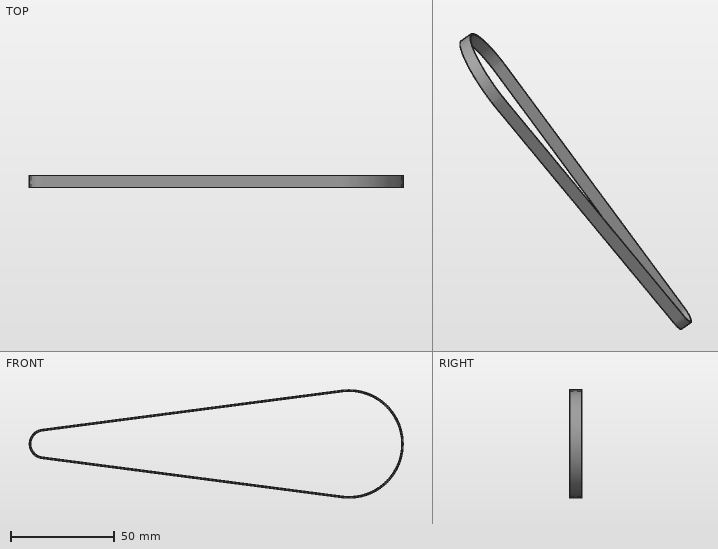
import cadquery as cq
import math

length = 181.42
width = 6.0
belt_thickness = 0.8
large_radius = 26.3
small_radius = 7.15

center_distance = length - large_radius - small_radius
small_center_x = -center_distance

run_angle = math.asin((large_radius - small_radius) / center_distance)
top_angle = math.pi / 2
tangent_angle = top_angle + run_angle
mid_angle = (tangent_angle + top_angle) / 2


def rim_point(center_x, radius, angle):
    """Point at an angle from +X on a circle centered on the X axis."""
    return (center_x + radius * math.cos(angle), radius * math.sin(angle))


def belt_loop(inset):
    """Solid filling the outer belt outline moved inward by inset."""
    large = large_radius - inset
    small = small_radius - inset
    small_upper = rim_point(small_center_x, small, tangent_angle)
    small_lower = rim_point(small_center_x, small, -tangent_angle)
    large_upper = rim_point(0, large, tangent_angle)
    large_lower = rim_point(0, large, -tangent_angle)
    return (
        cq.Workplane("XZ", origin=(0, width / 2, 0))
        .moveTo(*small_upper)
        .lineTo(*large_upper)
        .threePointArc(rim_point(0, large, mid_angle), (0, large))
        .threePointArc((large, 0), (0, -large))
        .threePointArc(rim_point(0, large, -mid_angle), large_lower)
        .lineTo(*small_lower)
        .threePointArc((small_center_x - small, 0), small_upper)
        .close()
        .extrude(width, clean=False)
    )


outer_loop = belt_loop(0)
inner_loop = belt_loop(belt_thickness)
result = outer_loop.cut(inner_loop, clean=False)